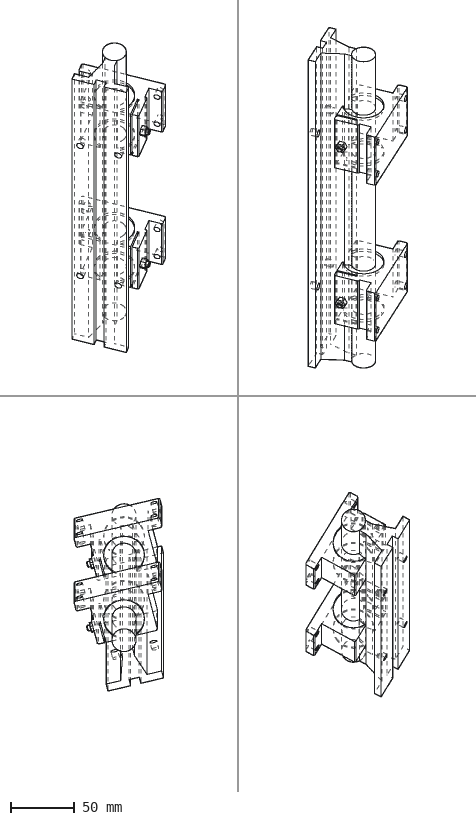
import cadquery as cq
import math

length = 304.8

shaft_diameter = 19.0
shaft_radius = shaft_diameter / 2

rail_base_y = -38.0
rail_base_width = 45.0
rail_base_thickness = 6.0
rail_web_top_width = 9.8
rail_web_foot_width = 21.3
rail_taper_start_y = -14.3
rail_groove_width = 8.2
rail_groove_depth = 5.2
rail_hole_diameter = 5.5
rail_hole_spacing_x = 31.7
rail_hole_heights = [length / 4, length * 3 / 4]

carriage_length = 48.0
carriage_heights = [75.0, 230.0]
carriage_back_y = 23.8
carriage_front_y = -15.2
flange_width = 69.8
flange_thickness = 8.2
body_width = 47.0
carriage_chamfer = 1.0
flange_hole_diameter = 5.0
flange_hole_spacing_x = 60.5
flange_hole_spacing_z = 31.7

pad_height = 1.8
pad_top_y = 5.8
slit_width = 1.2
slit_center_x = 19.2
slit_end_y = 1.5

bearing_diameter = 32.0
bearing_recess = 2.5
mouth_inner_y = -7.5
mouth_inner_width = 10.5
mouth_outer_width = 13.7

screw_y = -8.2
nut_across_flats = 7.3
nut_length = 4.0
tip_diameter = 4.5
tip_length = 2.7
tip_chamfer = 0.5


def make_shaft():
    return cq.Workplane("XY").circle(shaft_radius).extrude(length)


def make_rail(shaft):
    base_half = rail_base_width / 2
    foot_half = rail_web_foot_width / 2
    web_half = rail_web_top_width / 2
    groove_half = rail_groove_width / 2
    base_top_y = rail_base_y + rail_base_thickness
    groove_y = rail_base_y + rail_groove_depth
    web_top_y = -shaft_radius / 2
    half_outline = [
        (0, groove_y),
        (groove_half, groove_y),
        (groove_half, rail_base_y),
        (base_half, rail_base_y),
        (base_half, base_top_y),
        (foot_half, base_top_y),
        (web_half, rail_taper_start_y),
        (web_half, web_top_y),
        (0, web_top_y),
    ]
    half = cq.Workplane("XY").polyline(half_outline).close().extrude(length)
    rail = half.union(half.mirror("YZ")).cut(shaft)
    hole_points = [(side * rail_hole_spacing_x / 2, z) for side in (-1, 1) for z in rail_hole_heights]
    holes = (
        cq.Workplane("XZ", origin=(0, rail_base_y, 0))
        .pushPoints(hole_points)
        .circle(rail_hole_diameter / 2)
        .extrude(-rail_base_thickness)
    )
    return rail.cut(holes)


def carriage_block(x_min, x_max, y_min, y_max):
    return (
        cq.Workplane("XY")
        .box(x_max - x_min, y_max - y_min, carriage_length, centered=False)
        .translate((x_min, y_min, -carriage_length / 2))
    )


def make_carriage():
    body_half = body_width / 2
    flange_half = flange_width / 2
    pad_x = body_half + pad_height

    flange = carriage_block(-flange_half, flange_half, carriage_back_y - flange_thickness, carriage_back_y)
    flange = flange.edges("|Z").chamfer(carriage_chamfer)
    body = carriage_block(-body_half, body_half, carriage_front_y, carriage_back_y - carriage_chamfer)
    body = body.edges("|Z and <Y and <X").chamfer(carriage_chamfer)
    pad = carriage_block(0, pad_x, carriage_front_y, pad_top_y)
    pad = pad.edges("|Z and >X").chamfer(carriage_chamfer)
    carriage = flange.union(body).union(pad)

    bore = cq.Workplane("XY").circle(shaft_radius).extrude(carriage_length / 2, both=True)
    inner_half = mouth_inner_width / 2
    outer_half = mouth_outer_width / 2
    mouth_outline = [
        (-inner_half, mouth_inner_y),
        (inner_half, mouth_inner_y),
        (outer_half, carriage_front_y),
        (-outer_half, carriage_front_y),
    ]
    mouth = cq.Workplane("XY").polyline(mouth_outline).close().extrude(carriage_length / 2, both=True)
    carriage = carriage.cut(bore).cut(mouth)
    for end in (-1, 1):
        recess_center_z = end * (carriage_length - bearing_recess) / 2
        recess = (
            cq.Workplane("XY", origin=(0, 0, recess_center_z))
            .circle(bearing_diameter / 2)
            .extrude(bearing_recess / 2, both=True)
        )
        carriage = carriage.cut(recess)

    slit = carriage_block(
        slit_center_x - slit_width / 2, slit_center_x + slit_width / 2, carriage_front_y, slit_end_y
    )
    flange_holes = (
        cq.Workplane("XZ", origin=(0, carriage_back_y, 0))
        .rarray(flange_hole_spacing_x, flange_hole_spacing_z, 2, 2)
        .circle(flange_hole_diameter / 2)
        .extrude(flange_thickness)
    )
    return carriage.cut(slit).cut(flange_holes).union(make_screw(pad_x))


def make_screw(seat_x):
    nut_across_corners = nut_across_flats / math.cos(math.pi / 6)
    nut = (
        cq.Workplane("YZ", origin=(seat_x, screw_y, 0))
        .polygon(6, nut_across_corners)
        .extrude(nut_length)
    )
    tip = (
        cq.Workplane("YZ", origin=(seat_x + nut_length, screw_y, 0))
        .circle(tip_diameter / 2)
        .extrude(tip_length)
        .faces(">X")
        .chamfer(tip_chamfer)
    )
    return nut.union(tip)


shaft = make_shaft()
rail = make_rail(shaft)
carriage = make_carriage()
carriages = [carriage.translate((0, 0, z)).val() for z in carriage_heights]

result = cq.Compound.makeCompound([shaft.val(), rail.val(), *carriages])